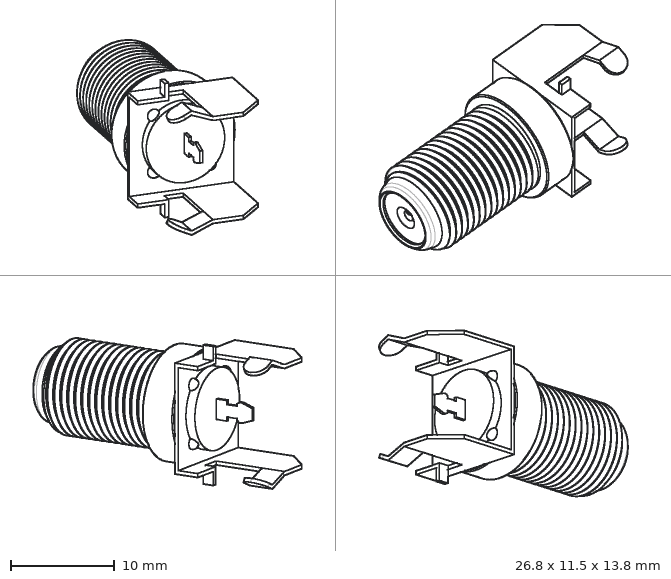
import cadquery as cq
import math


nose_tip_radius = 3.2
nose_knee_x = 0.48
nose_knee_radius = nose_tip_radius + nose_knee_x
nose_knee_fillet = 0.75
nose_end_x = 1.47
nose_end_radius = 3.93

thread_major_radius = 4.73
thread_root_radius = 4.25
groove_length = 12.7
thread_turns = 16
thread_pitch = groove_length / thread_turns
thread_end_x = 13.5
thread_flank_angle = 30.0
groove_root_width = 0.15
groove_overshoot = 0.03

collar_front_x = 13.96
collar_back_x = 17.52
collar_radius = 5.75
collar_chamfer = 0.13

mouth_radius = 2.9
mouth_chamfer = 0.21
mouth_depth = 0.43
entry_radius = 1.18
hole_radius = 0.55
entry_depth = 0.37
hole_depth = 0.27
contact_gap = 0.25
contact_depth = 0.4

sheet = 0.4
plate_back_x = collar_back_x + sheet
bracket_half_width = 5.43
bracket_half_height = 5.5
bracket_end_x = 26.75
corner_cut = 2.55
notch_front_x = 18.97
notch_top_y = -0.27
foot_end_x = 20.12
tab_y = -2.2
tab_sheet = 0.43
tab_top_z = 6.9

finger_width = 2.57
finger_fold_y = -2.45
finger_fold_rise = 0.88
finger_tip_y = -4.47
finger_tip_flat = 0.005
finger_tip_rounding = (finger_width - finger_tip_flat) / 2
finger_tip_drop = 0.94

boss_radius = 4.07
boss_back_x = 18.95
rivet_radius = 0.65
rivet_offset = 2.9
pin_thickness = 0.3
pin_shoulder_x = foot_end_x
pin_barb_x = 21.27
pin_peak_start_x = 21.53
pin_peak_end_x = 21.83
pin_tip_x = 23.0
pin_half_height = 1.02
pin_neck_half_height = 0.62
pin_barb_half_height = 0.85


def turned(points):
    """Revolve an (x, radius) outline about the barrel axis."""
    return cq.Workplane("XY").polyline(points).close().revolve(360, (0, 0, 0), (1, 0, 0))


def disc(front_x, back_x, radius):
    """Cylinder on the barrel axis."""
    return cq.Workplane("YZ", origin=(front_x, 0, 0)).circle(radius).extrude(back_x - front_x)


def nose_envelope():
    """Nose with its rounded knee and a 45 degree lead-in that ends outside the thread."""
    envelope_radius = collar_radius
    lead_in_end_x = nose_end_x + envelope_radius - nose_end_radius
    envelope = turned([
        (0, 0),
        (0, nose_tip_radius),
        (nose_knee_x, nose_knee_radius),
        (nose_end_x, nose_end_radius),
        (lead_in_end_x, envelope_radius),
        (collar_front_x, envelope_radius),
        (collar_front_x, 0),
    ])
    knee_margin = 0.03
    knee = cq.selectors.BoxSelector(
        (nose_knee_x - knee_margin, -collar_radius, -collar_radius),
        (nose_knee_x + knee_margin, collar_radius, collar_radius),
        boundingbox=True,
    )
    return envelope.edges(knee).fillet(nose_knee_fillet)


def thread_groove():
    """Right-handed V groove with a flat root, wound about Z and then turned onto X."""
    outer_radius = thread_major_radius + groove_overshoot
    flank_slope = math.tan(math.radians(thread_flank_angle))
    root_half = groove_root_width / 2
    outer_half = root_half + (outer_radius - thread_root_radius) * flank_slope
    helix = cq.Wire.makeHelix(thread_pitch, groove_length, thread_root_radius)
    groove = (
        cq.Workplane("XZ")
        .polyline([
            (thread_root_radius, -root_half),
            (outer_radius, -outer_half),
            (outer_radius, outer_half),
            (thread_root_radius, root_half),
        ])
        .close()
        .sweep(cq.Workplane(helix), isFrenet=True)
    )
    return groove.rotate((0, 0, 0), (0, 1, 0), 90).translate((thread_end_x - groove_length, 0, 0))


def barrel():
    threaded_rod = disc(0, collar_front_x, thread_major_radius).cut(thread_groove())
    threaded_nose = threaded_rod.intersect(nose_envelope())
    collar = disc(collar_front_x, collar_back_x, collar_radius).edges().chamfer(collar_chamfer)
    return threaded_nose.union(collar)


def mouth():
    """Shallow chamfered mouth, conical entry and hole closing on the gap between two slanted contacts."""
    hole_front_x = mouth_depth + entry_depth
    contact_x = hole_front_x + hole_depth
    contact_end_x = contact_x + contact_depth
    recess = turned([
        (0, 0),
        (0, mouth_radius + mouth_chamfer),
        (mouth_chamfer, mouth_radius),
        (mouth_depth, mouth_radius),
        (mouth_depth, entry_radius),
        (hole_front_x, hole_radius),
        (contact_x, hole_radius),
        (contact_x, 0),
    ])
    contact_gap_wedge = (
        cq.Workplane("XY")
        .polyline([
            (contact_x, -hole_radius),
            (contact_end_x, -contact_gap / 2),
            (contact_end_x, contact_gap / 2),
            (contact_x, hole_radius),
        ])
        .close()
        .extrude(hole_radius, both=True)
        .intersect(disc(contact_x, contact_end_x, hole_radius))
    )
    return recess.union(contact_gap_wedge)


def bracket_leg():
    """Upper leg: flat sheet with a notch, an upright tab and a bent spring finger."""
    inner_z = bracket_half_height - sheet
    tab_back_y = tab_y - tab_sheet
    flat = (
        cq.Workplane("XY", origin=(0, 0, inner_z))
        .polyline([
            (collar_back_x, bracket_half_width),
            (bracket_end_x - corner_cut, bracket_half_width),
            (bracket_end_x, bracket_half_width - corner_cut),
            (bracket_end_x, notch_top_y),
            (notch_front_x, notch_top_y),
            (notch_front_x, tab_back_y),
            (foot_end_x, tab_back_y),
            (foot_end_x, -bracket_half_width),
            (collar_back_x, -bracket_half_width),
        ])
        .close()
        .extrude(sheet)
    )
    tab = cq.Workplane("XY").box(
        foot_end_x - notch_front_x, tab_sheet, tab_top_z - inner_z, centered=False
    ).translate((notch_front_x, tab_back_y, inner_z))
    return flat.union(tab).union(spring_finger())


def spring_finger():
    """Strip that rises to a fold and falls again to a rounded tip."""
    root_z = bracket_half_height
    fold_z = root_z + finger_fold_rise
    tip_z = fold_z - finger_tip_drop
    rise_angle = math.atan2(finger_fold_rise, notch_top_y - finger_fold_y)
    fall_angle = math.atan2(finger_tip_drop, finger_fold_y - finger_tip_y)
    fold_drop = sheet / math.cos((rise_angle + fall_angle) / 2)
    fold_shift = fold_drop * math.sin((rise_angle - fall_angle) / 2)
    strip = (
        cq.Workplane("YZ", origin=(bracket_end_x - finger_width, 0, 0))
        .polyline([
            (notch_top_y, root_z),
            (finger_fold_y, fold_z),
            (finger_tip_y, tip_z),
            (finger_tip_y + sheet * math.sin(fall_angle), tip_z - sheet * math.cos(fall_angle)),
            (finger_fold_y + fold_shift, fold_z - fold_drop),
            (notch_top_y, root_z - sheet),
        ])
        .close()
        .extrude(finger_width)
    )
    tip_edges = strip.faces("<Y").edges("#X")
    return tip_edges.fillet(finger_tip_rounding)


def bracket():
    plate = cq.Workplane("XY").box(sheet, 2 * bracket_half_width, 2 * bracket_half_height).translate(
        (collar_back_x + sheet / 2, 0, 0)
    )
    leg = bracket_leg()
    return plate.union(leg).union(leg.mirror("XY"))


def rivets():
    heads = cq.Workplane("YZ", origin=(plate_back_x, 0, 0)).rect(
        2 * rivet_offset, 2 * rivet_offset, forConstruction=True
    )
    return heads.vertices().sphere(rivet_radius)


def contact_pin():
    """Flat barbed pin in the XZ plane, starting inside the boss."""
    upper_outline = [
        (plate_back_x, pin_half_height),
        (pin_shoulder_x, pin_half_height),
        (pin_shoulder_x, pin_neck_half_height),
        (pin_barb_x, pin_neck_half_height),
        (pin_barb_x, pin_barb_half_height),
        (pin_peak_start_x, pin_half_height),
        (pin_peak_end_x, pin_half_height),
        (pin_tip_x, pin_neck_half_height),
    ]
    lower_outline = [(x, -z) for x, z in reversed(upper_outline)]
    return (
        cq.Workplane("XZ")
        .polyline(upper_outline + lower_outline)
        .close()
        .extrude(pin_thickness / 2, both=True)
    )


boss = disc(collar_back_x, boss_back_x, boss_radius)

result = (
    barrel()
    .cut(mouth())
    .union(bracket())
    .union(boss)
    .union(rivets())
    .union(contact_pin())
)